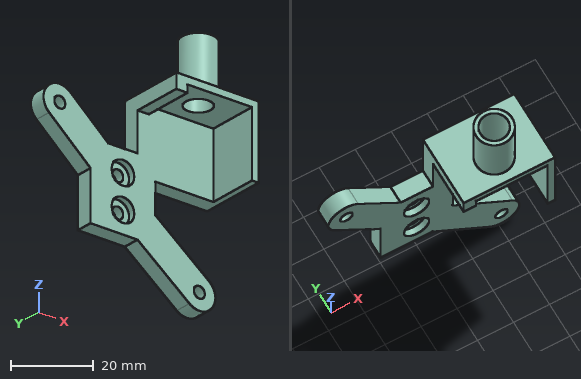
import cadquery as cq

plate_depth = 5.0
body_left = 14.5
body_right = 34.5
body_bottom = 13.3
body_top = 36.6

hood_left = 29.0
hood_right = 54.5
hood_bottom = 30.65
hood_top = 52.65
hood_depth = 15.0
roof_thickness = 2.2
wall_thickness = 2.1
lip_width = 3.45
lip_height = 4.5

tube_diameter = 10.0
tube_bore = 7.6
tube_height = 15.0

arm_radius = 5.0
upper_arm_center = (arm_radius, 43.05)
upper_arm_angle = -41.0
upper_arm_length = 20.3
lower_arm_center = (48.05, arm_radius)
lower_arm_angle = 142.5
lower_arm_length = 23.0

hole_diameter = 3.4
counterbore_diameter = 7.0
counterbore_depth = 2.0
body_hole_spacing = 10.0
lower_hole_height = 19.95


def box(x_range, y_range, z_range):
    """Box spanning the given (low, high) limits on each axis."""
    sizes = [high - low for low, high in (x_range, y_range, z_range)]
    corner = (x_range[0], y_range[0], z_range[0])
    return cq.Workplane("XY").box(*sizes, centered=False).translate(corner)


def cylinder_along_y(center, diameter, y_front, depth):
    """Cylinder from y_front towards +Y, centred on an (x, z) point."""
    plane = cq.Workplane("XZ", origin=(center[0], y_front, center[1]))
    return plane.circle(diameter / 2).extrude(-depth)


def arm(center, angle, length):
    """Plate-thick bar with a round outer end, running into the body."""
    bar = (
        cq.Workplane("XZ")
        .moveTo(0, -arm_radius)
        .lineTo(length, -arm_radius)
        .lineTo(length, arm_radius)
        .lineTo(0, arm_radius)
        .threePointArc((-arm_radius, 0), (0, -arm_radius))
        .close()
        .extrude(plate_depth)
    )
    turned = bar.rotate((0, 0, 0), (0, 1, 0), -angle)
    return turned.translate((center[0], 0, center[1]))


plate_front = -plate_depth
plate_y = (plate_front, 0)
hood_front = plate_front - hood_depth
hood_y = (hood_front, plate_front)

plate = box((body_left, body_right), plate_y, (body_bottom, body_top))
plate = plate.union(box((hood_left, hood_right), plate_y, (hood_bottom, hood_top)))
plate = plate.union(arm(upper_arm_center, upper_arm_angle, upper_arm_length))
plate = plate.union(arm(lower_arm_center, lower_arm_angle, lower_arm_length))

body_middle = (body_left + body_right) / 2
body_holes = [
    (body_middle, lower_hole_height),
    (body_middle, lower_hole_height + body_hole_spacing),
]
for hole in [upper_arm_center, lower_arm_center] + body_holes:
    plate = plate.cut(cylinder_along_y(hole, hole_diameter, plate_front, plate_depth))
for hole in body_holes:
    plate = plate.cut(cylinder_along_y(hole, counterbore_diameter, plate_front, counterbore_depth))

roof = box((hood_left, hood_right), hood_y, (hood_top - roof_thickness, hood_top))
wall = box((hood_right - wall_thickness, hood_right), hood_y, (hood_bottom, hood_top))
lip = box((hood_left, hood_left + lip_width), hood_y, (hood_top - lip_height, hood_top))
hood = roof.union(wall).union(lip)

tube_x = (hood_left + hood_right) / 2
tube_y = (hood_front + plate_front) / 2
roof_plane = cq.Workplane("XY", origin=(tube_x, tube_y, hood_top))
tube = roof_plane.circle(tube_diameter / 2).extrude(tube_height)
bore = (
    roof_plane.workplane(offset=-roof_thickness)
    .circle(tube_bore / 2)
    .extrude(roof_thickness + tube_height)
)

result = plate.union(hood).union(tube).cut(bore)